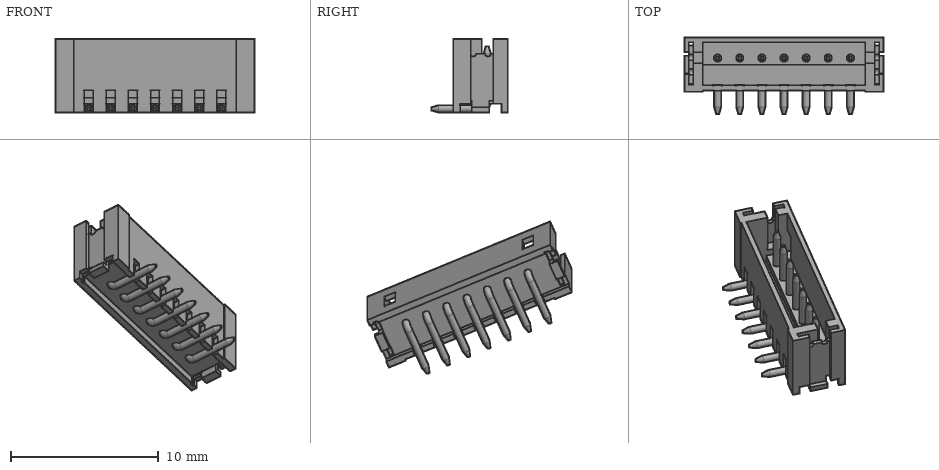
import cadquery as cq


length = 13.5
height = 5.0
depth = 3.7
end_block_width = 1.25
front_recess = 0.1
long_wall = 0.35
front_face_y = -(depth - front_recess)

cavity_length = length - 2 * end_block_width
front_floor_z = 1.0
rear_floor_z = 1.5
floor_step_y = -depth / 2

channel_height = 0.6
rear_skirt = 0.45
front_skirt = 0.47
channel_front_y = -depth + front_skirt

flange_gap_rear_y = -1.0
flange_gap_width = 1.5
key_notch_width = 0.75
key_notch_z = 2.0

window_width = 0.81
window_top_z = 3.5

pin_count = 7
pin_pitch = 1.5
pin_diameter = 0.5
pin_radius = pin_diameter / 2
pin_tip_radius = 0.11
pin_taper = pin_diameter
pin_top_z = 4.5
pin_y = -1.4
pin_reach_y = -5.2
pin_bend_radius = 0.5
pin_exit_width = 0.61
pin_exit_height = rear_floor_z
pin_xs = [(i - (pin_count - 1) / 2) * pin_pitch for i in range(pin_count)]

tab_thickness = 0.28
tab_inset = 0.31
tab_width = 2.62
tab_top_z = 4.0
tab_shoulder_z = 0.81
foot_width = 1.2
foot_thickness = 0.36
tab_notch_radius = 0.2
tab_notch_spacing = 1.0
tab_y = -depth / 2
tab_outer_x = -length / 2 + tab_inset
tab_inner_x = tab_outer_x + tab_thickness
tab_slot_rear_y = -long_wall
tab_slot_front_y = -3.2


def block(x0, x1, y0, y1, z0, z1):
    """Box between two opposite corners."""
    return cq.Workplane("XY").box(x1 - x0, y1 - y0, z1 - z0, centered=False).translate((x0, y0, z0))


def mirrored(shape):
    """The same shape at the opposite end of the part."""
    return shape.mirror("YZ")


def make_left_end_cuts():
    """Openings of the -X end: tab slot, flange gap, key notch and rear window."""
    outer_x = -length / 2
    cavity_x = -cavity_length / 2
    tab_slot = block(tab_outer_x, tab_inner_x, tab_slot_front_y, tab_slot_rear_y, 0, height)
    flange_gap = block(
        outer_x, tab_outer_x, flange_gap_rear_y - flange_gap_width, flange_gap_rear_y, 0, height
    )
    key_notch = block(
        tab_inner_x, cavity_x, flange_gap_rear_y - key_notch_width, flange_gap_rear_y, key_notch_z, height
    )
    window = block(cavity_x, cavity_x + window_width, -long_wall, 0, rear_floor_z, window_top_z)
    return [tab_slot, flange_gap, key_notch, window]


def make_pin(x):
    """Right-angle round pin with a tapered tip at each end."""
    bend_y = pin_y - pin_bend_radius
    bend_z = pin_radius + pin_bend_radius
    upright_end_z = pin_top_z - pin_taper
    tail_end_y = pin_reach_y + pin_taper
    path = (
        cq.Workplane("YZ", origin=(x, 0, 0))
        .moveTo(pin_y, upright_end_z)
        .lineTo(pin_y, bend_z)
        .radiusArc((bend_y, pin_radius), pin_bend_radius)
        .lineTo(tail_end_y, pin_radius)
    )
    rod = cq.Workplane("XY", origin=(x, pin_y, upright_end_z)).circle(pin_radius).sweep(path)
    upper_tip = cq.Solid.makeCone(
        pin_radius, pin_tip_radius, pin_taper, cq.Vector(x, pin_y, upright_end_z), cq.Vector(0, 0, 1)
    )
    tail_tip = cq.Solid.makeCone(
        pin_radius, pin_tip_radius, pin_taper, cq.Vector(x, tail_end_y, pin_radius), cq.Vector(0, -1, 0)
    )
    return rod.union(cq.Workplane(upper_tip)).union(cq.Workplane(tail_tip))


def make_left_tab():
    """L-shaped solder tab of the -X end, with two round notches in its top edge."""
    half_width = tab_width / 2
    half_foot = foot_width / 2
    plate = block(
        tab_outer_x, tab_inner_x, tab_y - half_width, tab_y + half_width, tab_shoulder_z, tab_top_z
    )
    leg = block(tab_outer_x, tab_inner_x, tab_y - half_foot, tab_y + half_foot, 0, tab_shoulder_z)
    foot = block(-length / 2, tab_outer_x, tab_y - half_foot, tab_y + half_foot, 0, foot_thickness)
    notches = (
        cq.Workplane("YZ", origin=(tab_outer_x, 0, 0))
        .pushPoints([(tab_y + side * tab_notch_spacing / 2, tab_top_z) for side in (-1, 1)])
        .circle(tab_notch_radius)
        .extrude(tab_thickness)
    )
    return plate.union(leg).union(foot).cut(notches)


def make_housing(pins):
    """Open-topped shroud with a stepped floor, fitted around the pins."""
    half_length = length / 2
    half_cavity = cavity_length / 2
    cavity_front_y = front_face_y + long_wall
    body = block(-half_length, half_length, -depth, 0, 0, height)

    body = body.cut(block(-half_cavity, half_cavity, -depth, front_face_y, 0, height))

    body = body.cut(block(-half_cavity, half_cavity, cavity_front_y, floor_step_y, front_floor_z, height))
    body = body.cut(block(-half_cavity, half_cavity, floor_step_y, -long_wall, rear_floor_z, height))

    body = body.cut(block(-half_length, half_length, channel_front_y, -rear_skirt, 0, channel_height))

    half_exit = pin_exit_width / 2
    for x in pin_xs:
        exit_slot = block(x - half_exit, x + half_exit, front_face_y, channel_front_y, 0, pin_exit_height)
        body = body.cut(exit_slot)

    for cutter in make_left_end_cuts():
        body = body.cut(cutter).cut(mirrored(cutter))

    for pin in pins:
        body = body.cut(pin)
    return body


pins = [make_pin(x) for x in pin_xs]
housing = make_housing(pins)
left_tab = make_left_tab()
tabs = [left_tab, mirrored(left_tab)]

result = cq.Compound.makeCompound(
    [housing.val(), *[pin.val() for pin in pins], *[tab.val() for tab in tabs]]
)